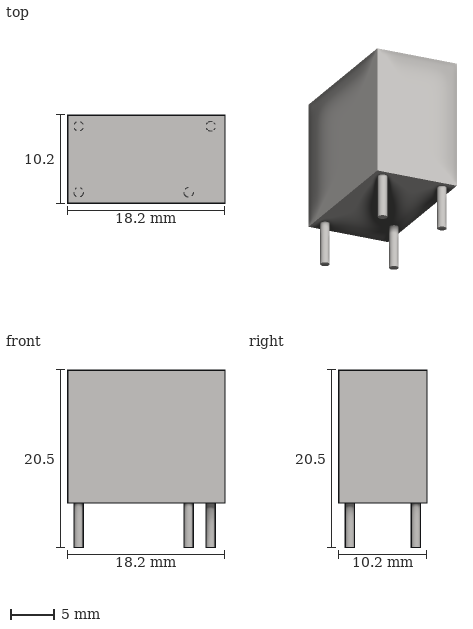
import cadquery as cq

HOUSING_LENGTH = 18.2
HOUSING_WIDTH = 10.2
TOTAL_HEIGHT = 20.5
PIN_LENGTH = 5.12
HOUSING_HEIGHT = TOTAL_HEIGHT - PIN_LENGTH

PIN_DIAMETER = 1.1
PIN_PITCH = 2.55
ROW_SPACING = 3 * PIN_PITCH
LEFT_PIN_INSET = 1.27

LEFT_X = -HOUSING_LENGTH / 2 + LEFT_PIN_INSET
INNER_X = LEFT_X + 5 * PIN_PITCH
OUTER_X = LEFT_X + 6 * PIN_PITCH
FRONT_Y = -ROW_SPACING / 2
BACK_Y = ROW_SPACING / 2

PIN_POSITIONS = [
    (LEFT_X, FRONT_Y),
    (LEFT_X, BACK_Y),
    (INNER_X, FRONT_Y),
    (OUTER_X, BACK_Y),
]


def make_housing():
    """Rectangular housing, centred in X and Y, with its underside at Z = 0."""
    return cq.Workplane("XY").box(
        HOUSING_LENGTH, HOUSING_WIDTH, HOUSING_HEIGHT, centered=(True, True, False)
    )


def make_pin(x, y):
    """Round pin hanging from the housing underside at (x, y)."""
    return cq.Workplane("XY").center(x, y).circle(PIN_DIAMETER / 2).extrude(-PIN_LENGTH)


housing = make_housing()
pins = [make_pin(x, y) for x, y in PIN_POSITIONS]

result = cq.Compound.makeCompound([housing.val(), *[pin.val() for pin in pins]])